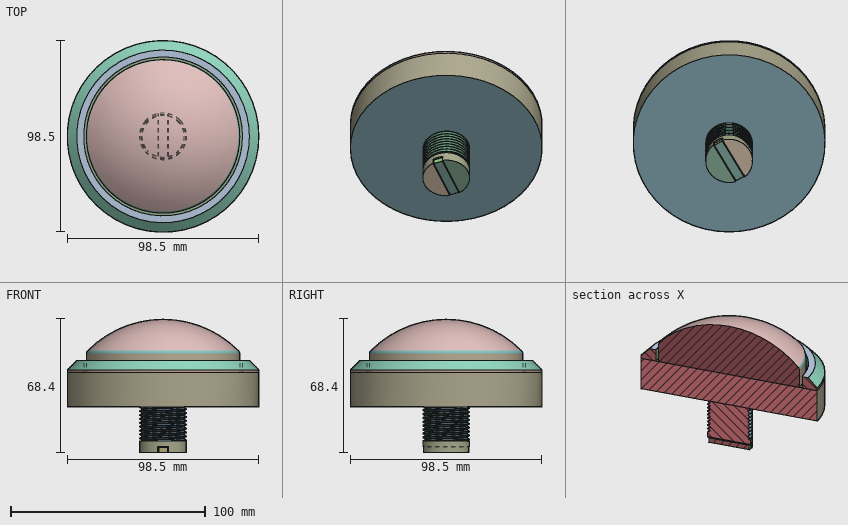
import cadquery as cq
import math

base_diameter = 98.5
base_height = 17.5

bezel_height = 6.4
bezel_chamfer = 4.9
bezel_bore_diameter = 81.6

cap_diameter = 78.8
cap_edge_z = 28.2
cap_apex_z = 45.0
cap_edge_fillet = 2.0

stem_length = 23.4
collar_height = 5.9
thread_diameter = 24.0
root_diameter = 21.6
thread_turns = 8.8
thread_flank_angle = 30.0
thread_lead_in_turns = 0.8

slot_width = 5.4
slot_depth = 3.1
key_width = 4.6
key_length = 22.7
key_height = 2.8

shank_length = stem_length - collar_height
collar_top_z = -shank_length
stem_bottom_z = -stem_length
thread_pitch = shank_length / thread_turns
thread_crest_width = thread_pitch / 8


def cylinder(diameter, bottom_z, height):
    return cq.Workplane("XY").workplane(offset=bottom_z).circle(diameter / 2).extrude(height)


def bottom_bar(width, length, height):
    """Bar along Y that rises from the lower end of the stem."""
    return (
        cq.Workplane("XY")
        .workplane(offset=stem_bottom_z)
        .rect(width, length)
        .extrude(height)
    )


def make_base():
    return cylinder(base_diameter, 0, base_height)


def make_bezel():
    ring = cylinder(base_diameter, base_height, bezel_height).faces(">Z").chamfer(bezel_chamfer)
    return ring.cut(cylinder(bezel_bore_diameter, base_height, bezel_height))


def make_cap():
    radius = cap_diameter / 2
    rise = cap_apex_z - cap_edge_z
    dome_radius = (radius**2 + rise**2) / (2 * rise)
    dome_center_z = cap_apex_z - dome_radius
    mid_angle = math.asin(radius / dome_radius) / 2
    dome_mid = (dome_radius * math.sin(mid_angle), dome_center_z + dome_radius * math.cos(mid_angle))
    profile = (
        cq.Workplane("XZ")
        .moveTo(0, base_height)
        .lineTo(radius, base_height)
        .lineTo(radius, cap_edge_z)
        .threePointArc(dome_mid, (0, cap_apex_z))
        .close()
    )
    cap = profile.revolve(360, (0, 0, 0), (0, 1, 0))
    rim_edge = cq.selectors.NearestToPointSelector((0, 0, cap_edge_z))
    return cap.edges("%CIRCLE").edges(rim_edge).fillet(cap_edge_fillet)


def make_threaded_shank():
    """Shank with a right-handed helical ridge, made overlong and then trimmed at both ends."""
    root_radius = root_diameter / 2
    depth = (thread_diameter - root_diameter) / 2
    overlap = 0.2
    half_crest = thread_crest_width / 2
    half_root = half_crest + (depth + overlap) * math.tan(math.radians(thread_flank_angle))
    start_z = collar_top_z - (1 + thread_lead_in_turns) * thread_pitch
    helix_height = shank_length + 3 * thread_pitch
    helix = cq.Wire.makeHelix(thread_pitch, helix_height, root_radius)
    ridge = (
        cq.Workplane("XZ")
        .polyline([
            (root_radius - overlap, -half_root),
            (root_radius + depth, -half_crest),
            (root_radius + depth, half_crest),
            (root_radius - overlap, half_root),
        ])
        .close()
        .sweep(cq.Workplane(helix), isFrenet=True)
        .translate((0, 0, start_z))
    )
    overlong_shank = cylinder(root_diameter, start_z - thread_pitch, helix_height + 2 * thread_pitch)
    trim = cylinder(2 * thread_diameter, collar_top_z, shank_length)
    return overlong_shank.union(ridge).intersect(trim)


def make_stem():
    collar = cylinder(thread_diameter, stem_bottom_z, collar_height)
    slot = bottom_bar(slot_width, 2 * thread_diameter, slot_depth)
    return make_threaded_shank().union(collar.cut(slot))


def make_key():
    return bottom_bar(key_width, key_length, key_height)


base = make_base()
bezel = make_bezel()
cap = make_cap()
stem = make_stem()
key = make_key()

result = cq.Compound.makeCompound([
    base.solids().val(),
    bezel.solids().val(),
    cap.solids().val(),
    stem.solids().val(),
    key.solids().val(),
])